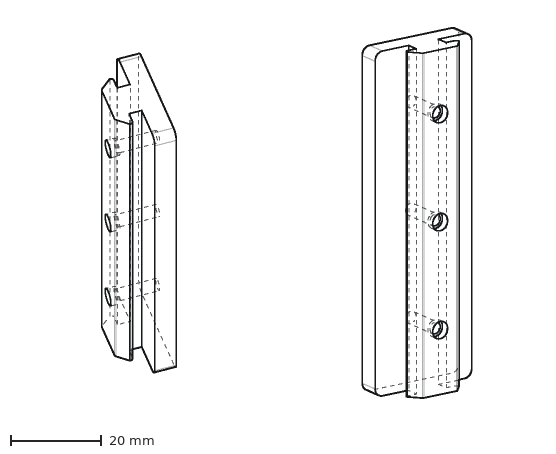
import cadquery as cq
import math

length = 80.0
plate_width = 26.0
plate_thickness = 5.0
corner_radius = 2.0

total_depth = 11.5
neck_width = 8.0
neck_depth = 3.0
head_width = 13.9
head_side_depth = 0.8
bevel_angle = 49.0
head_back_radius = 0.6
face_edge_radius = 0.5

hole_diameter = 2.8
counterbore_diameter = 4.0
counterbore_depth = 2.0
hole_spacing = 25.0

plate_front = -plate_thickness
head_back = plate_front - neck_depth
bevel_start = head_back - head_side_depth
rail_face = -total_depth

bevel_run = (bevel_start - rail_face) / math.tan(math.radians(bevel_angle))
face_width = head_width - 2 * bevel_run


def make_plate():
    """Flat plate with its four corners rounded."""
    plate = cq.Workplane("XY").box(plate_width, plate_thickness, length)
    return plate.translate((0, -plate_thickness / 2, 0)).edges("|Y").fillet(corner_radius)


def vertical_edges_at(body, half_width, y):
    """The mirrored pair of full-length edges at X = +/-half_width and the given Y."""
    reach = 0.1

    def box_around(x):
        return cq.selectors.BoxSelector((x - reach, y - reach, -reach), (x + reach, y + reach, reach))

    return body.edges(box_around(half_width) + box_around(-half_width))


def make_rail():
    """Full-length rail: a narrow neck carrying a wider, bevelled head."""
    right_side = [
        (neck_width / 2, plate_front),
        (neck_width / 2, head_back),
        (head_width / 2, head_back),
        (head_width / 2, bevel_start),
        (face_width / 2, rail_face),
    ]
    left_side = [(-x, y) for x, y in reversed(right_side)]
    profile = cq.Workplane("XY").polyline(right_side + left_side).close()
    rail = profile.extrude(length / 2, both=True)
    rail = vertical_edges_at(rail, head_width / 2, head_back).fillet(head_back_radius)
    return vertical_edges_at(rail, face_width / 2, rail_face).fillet(face_edge_radius)


def drill_holes(body):
    """Three through holes, counterbored from the rail face."""
    hole_places = [(0, step * hole_spacing) for step in (-1, 0, 1)]
    front = cq.Workplane("XZ", origin=(0, rail_face, 0)).pushPoints(hole_places)
    return body.cut(front.circle(hole_diameter / 2).extrude(-total_depth)).cut(
        front.circle(counterbore_diameter / 2).extrude(-counterbore_depth)
    )


result = drill_holes(make_plate().union(make_rail()))